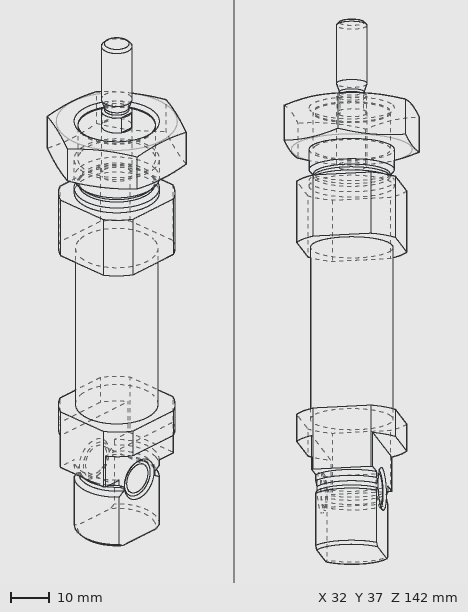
import cadquery as cq
import math

total_height = 142.0
lug_top = 36.0
lug_shoulder = 28.8
lug_square_bottom = 19.7
tube_top = 82.0
collar_top = 98.3
nut_bottom = 108.0
nut_top = 119.1

thread_dia = 22.0
thread_bore_dia = 20.0
tube_dia = 21.3
square_side = 26.0
square_corner_dia = 30.1
lug_thickness = 16.0
end_dia = 20.3
end_chamfer = (thread_dia - end_dia) / 2
groove_dia = 19.7
groove_depth = (thread_dia - groove_dia) / 2
lower_groove_floor = 1.1
upper_groove_floor = 0.7
lower_groove_bottom = 14.8
upper_groove_bottom = 99.7

hole_dia = 8.0
hole_height = 17.0
hole_mouth_dia = 11.1
hole_step_dia = 9.7
hole_step_depth = (hole_mouth_dia - hole_step_dia) / 2

nut_across_flats = 32.0
nut_across_corners = nut_across_flats / math.cos(math.pi / 6)
nut_face_dia = 31.2
nut_corner_drop = 0.9
nut_countersink = (thread_dia - thread_bore_dia) / 2
nose_recess = 1.3
nose_top = nut_top - nose_recess

rod_dia = 8.0
rod_neck_dia = 6.4
rod_flats = 7.0
rod_seat_depth = 14.2
rod_bottom = nose_top - rod_seat_depth
rod_tip_chamfer = (rod_dia - rod_neck_dia) / 2
rod_thread_bottom = 125.7
rod_neck_top = 123.4
rod_neck_bottom = 122.7
rod_shoulder = 122.3


def cylinder(diameter, bottom, top):
    return cq.Workplane("XY").workplane(offset=bottom).circle(diameter / 2).extrude(top - bottom)


def box(size_x, size_y, bottom, top):
    return cq.Workplane("XY").workplane(offset=bottom).rect(size_x, size_y).extrude(top - bottom)


def revolved(profile):
    """Turn a closed (radius, height) profile about the Z axis."""
    return cq.Workplane("XZ").polyline(profile).close().revolve(360, (0, 0, 0), (0, 1, 0))


def rounded_square(bottom, top):
    """Square block whose corners lie on a common cylinder."""
    return box(square_side, square_side, bottom, top).intersect(cylinder(square_corner_dia, bottom, top))


def groove_ring(bottom, floor_height):
    """Ring to cut: a flat groove floor with 45 degree flanks."""
    floor_bottom = bottom + groove_depth
    floor_top = floor_bottom + floor_height
    return revolved([
        (thread_dia / 2, bottom),
        (groove_dia / 2, floor_bottom),
        (groove_dia / 2, floor_top),
        (thread_dia / 2, floor_top + groove_depth),
    ])


def cross_hole():
    """Through hole along X, stepped and countersunk at both faces of the lug."""
    face = lug_thickness / 2
    step = face - hole_step_depth
    profile = [
        (-face, 0),
        (-face, hole_mouth_dia / 2),
        (-step, hole_step_dia / 2),
        (-step, hole_dia / 2),
        (step, hole_dia / 2),
        (step, hole_step_dia / 2),
        (face, hole_mouth_dia / 2),
        (face, 0),
    ]
    hole = cq.Workplane("XZ").polyline(profile).close().revolve(360, (0, 0, 0), (1, 0, 0))
    return hole.translate((0, 0, hole_height))


def make_lug():
    round_end = cylinder(thread_dia, 0, lug_shoulder).faces("<Z").chamfer(end_chamfer)
    round_end = round_end.cut(groove_ring(lower_groove_bottom, lower_groove_floor))
    lug = round_end.union(rounded_square(lug_square_bottom, lug_shoulder))
    lug = lug.intersect(box(lug_thickness, square_side, 0, lug_shoulder))
    return lug.cut(cross_hole())


def make_housing():
    neck = cylinder(thread_dia, collar_top, nut_bottom).cut(groove_ring(upper_groove_bottom, upper_groove_floor))
    nose = cylinder(thread_bore_dia, nut_bottom, nose_top)
    housing = make_lug().union(rounded_square(lug_shoulder, lug_top))
    housing = housing.union(cylinder(tube_dia, lug_top, tube_top))
    housing = housing.union(rounded_square(tube_top, collar_top)).union(neck).union(nose)
    return housing.cut(cylinder(rod_dia, rod_bottom, nose_top))


def make_nut():
    nut_height = nut_top - nut_bottom
    hexagon = cq.Workplane("XY").workplane(offset=nut_bottom).polygon(6, nut_across_corners)
    hexagon = hexagon.extrude(nut_height).rotate((0, 0, 0), (0, 0, 1), 30)
    corner_cones = revolved([
        (0, nut_bottom),
        (nut_face_dia / 2, nut_bottom),
        (nut_across_corners / 2, nut_bottom + nut_corner_drop),
        (nut_across_corners / 2, nut_top - nut_corner_drop),
        (nut_face_dia / 2, nut_top),
        (0, nut_top),
    ])
    bore = revolved([
        (0, nut_bottom),
        (thread_bore_dia / 2, nut_bottom),
        (thread_bore_dia / 2, nut_top - nut_countersink),
        (thread_dia / 2, nut_top),
        (0, nut_top),
    ])
    return hexagon.intersect(corner_cones).cut(bore)


def make_rod():
    rod_radius = rod_dia / 2
    neck_radius = rod_neck_dia / 2
    rod = revolved([
        (0, rod_bottom),
        (rod_radius, rod_bottom),
        (rod_radius, rod_shoulder),
        (neck_radius, rod_neck_bottom),
        (neck_radius, rod_neck_top),
        (rod_radius, rod_thread_bottom),
        (rod_radius, total_height - rod_tip_chamfer),
        (neck_radius, total_height),
        (0, total_height),
    ])
    flats = box(rod_dia, rod_dia, nose_top, rod_shoulder)
    flats = flats.cut(box(rod_flats, rod_dia, nose_top, rod_shoulder))
    return rod.cut(flats)


housing = make_housing()
nut = make_nut()
rod = make_rod()

result = cq.Compound.makeCompound([housing.val(), nut.val(), rod.val()])